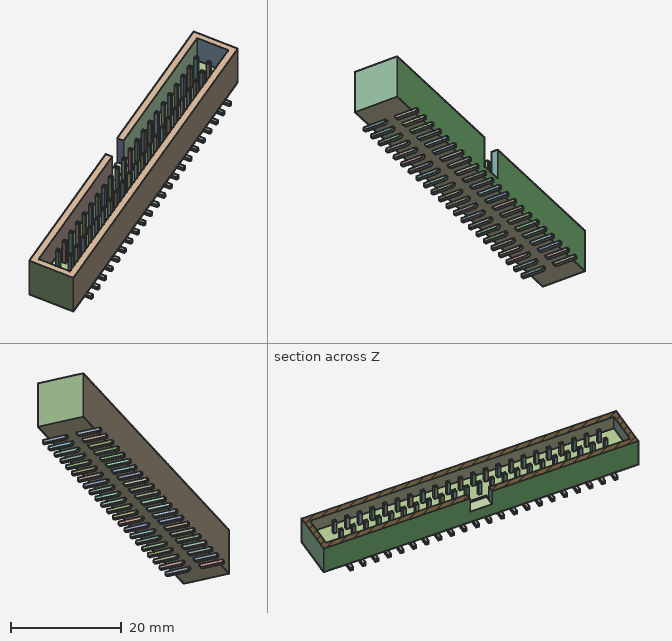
import cadquery as cq


pitch = 2.54
pins_per_row = 22
pin_size = 0.64
pin_top_gap = 0.3
bend_radius = pin_size
tip_chamfer = pin_size / 4
foot_span = 11.6

housing_width = 9.0
housing_length = 63.5
housing_height = 9.0
side_wall = 1.33
end_wall = 1.14
cavity_depth = 6.0

notch_width = 4.4
notch_depth = 6.4
notch_floor_reach = 2.17

housing_bottom = pin_size
housing_top = housing_bottom + housing_height
pin_top = housing_top - pin_top_gap
row_x = pitch / 2


def box_from(x_min, z_min, x_size, y_size, z_size):
    """Box centred on Y, starting at the given X and Z."""
    centring = (False, True, False)
    return cq.Workplane("XY").box(x_size, y_size, z_size, centered=centring).translate((x_min, 0, z_min))


def make_housing():
    """Open-topped shroud with the polarising notch."""
    housing = box_from(-housing_width / 2, housing_bottom, housing_width, housing_length, housing_height)
    cavity_width = housing_width - 2 * side_wall
    cavity_length = housing_length - 2 * end_wall
    cavity = box_from(-cavity_width / 2, housing_top - cavity_depth, cavity_width, cavity_length, cavity_depth)
    notch = box_from(-housing_width / 2, housing_top - notch_depth, notch_floor_reach, notch_width, notch_depth)
    return housing.cut(cavity).cut(notch)


def tapered_tip():
    """Truncated pyramid on Z = 0 that ends a square wire, pointing to +Z."""
    end_size = pin_size - 2 * tip_chamfer
    tip = cq.Workplane("XY").rect(pin_size, pin_size)
    return tip.workplane(offset=tip_chamfer).rect(end_size, end_size).loft(ruled=True)


def make_pin():
    """L-shaped pin of the +X row: upright post, rounded bend and foot towards +X."""
    inner_x = row_x - pin_size / 2
    post_outer_x = row_x + pin_size / 2
    foot_end_x = foot_span / 2 - tip_chamfer
    post_end_z = pin_top - tip_chamfer
    wire = (
        cq.Workplane("XZ", origin=(0, pin_size / 2, 0))
        .moveTo(inner_x, post_end_z)
        .lineTo(inner_x, bend_radius)
        .radiusArc((inner_x + bend_radius, 0), -bend_radius)
        .lineTo(foot_end_x, 0)
        .lineTo(foot_end_x, pin_size)
        .lineTo(post_outer_x, pin_size)
        .lineTo(post_outer_x, post_end_z)
        .close()
        .extrude(pin_size)
    )
    post_tip = tapered_tip().translate((row_x, 0, post_end_z))
    foot_tip = tapered_tip().rotate((0, 0, 0), (0, 1, 0), 90).translate((foot_end_x, 0, pin_size / 2))
    return wire.union(post_tip).union(foot_tip)


def make_contacts():
    """Both rows of pins, the -X row mirroring the +X row."""
    right_pin = make_pin().val()
    left_pin = right_pin.mirror("YZ")
    first_y = -pitch * (pins_per_row - 1) / 2
    contacts = []
    for index in range(pins_per_row):
        shift = cq.Vector(0, first_y + index * pitch, 0)
        contacts.append(right_pin.translate(shift))
        contacts.append(left_pin.translate(shift))
    return contacts


housing = make_housing().val()
result = cq.Workplane("XY").newObject([housing.fuse(*make_contacts()).Solids()[0]])